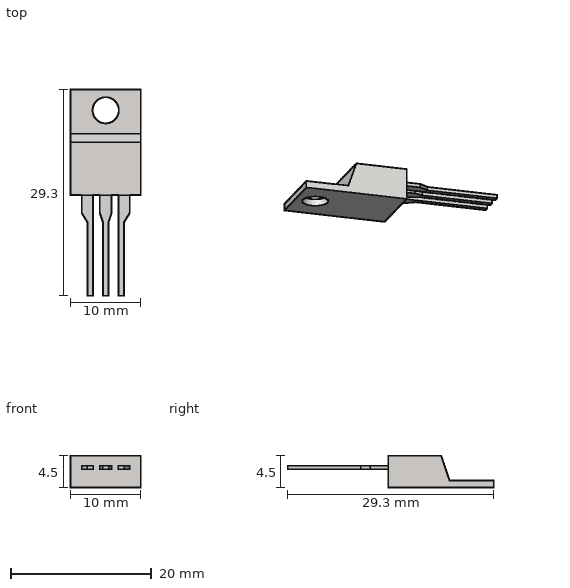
import cadquery as cq

total_length = 29.27
width = 10.0
body_height = 4.5
tab_thickness = 1.0
tab_length = 6.25
slope_length = 1.2
package_length = 15.0
hole_diameter = 3.7
hole_inset = 2.95

lead_pitch = 2.2
lead_width = 0.82
lead_thickness = 0.53
lead_bottom = 2.58
shoulder_extra = 0.82
middle_shoulder_extra = 0.45
shoulder_length = 2.55
shoulder_taper = 1.32

tab_end = total_length / 2
lead_tip = -total_length / 2
body_front = tab_end - package_length
slope_foot = tab_end - tab_length
slope_top = slope_foot - slope_length


def make_package():
    """Tab and body as one side profile, with the mounting hole."""
    profile = [
        (tab_end, 0),
        (tab_end, tab_thickness),
        (slope_foot, tab_thickness),
        (slope_top, body_height),
        (body_front, body_height),
        (body_front, 0),
    ]
    package = cq.Workplane("YZ").polyline(profile).close().extrude(width / 2, both=True)
    hole = (
        cq.Workplane("XY")
        .center(0, tab_end - hole_inset)
        .circle(hole_diameter / 2)
        .extrude(tab_thickness)
    )
    return package.cut(hole)


def make_lead(center_x, extra_left, extra_right):
    """Straight lead whose shoulder widens toward the body by the given amounts."""
    left = center_x - lead_width / 2
    right = center_x + lead_width / 2
    shoulder_end = body_front - shoulder_length
    taper_end = shoulder_end - shoulder_taper
    outline = [(left, lead_tip), (right, lead_tip)]
    if extra_right > 0:
        outline += [(right, taper_end), (right + extra_right, shoulder_end)]
    outline += [(right + extra_right, body_front), (left - extra_left, body_front)]
    if extra_left > 0:
        outline += [(left - extra_left, shoulder_end), (left, taper_end)]
    return (
        cq.Workplane("XY")
        .workplane(offset=lead_bottom)
        .polyline(outline)
        .close()
        .extrude(lead_thickness)
    )


result = (
    make_package()
    .union(make_lead(-lead_pitch, shoulder_extra, 0))
    .union(make_lead(0, middle_shoulder_extra, middle_shoulder_extra))
    .union(make_lead(lead_pitch, 0, shoulder_extra))
)